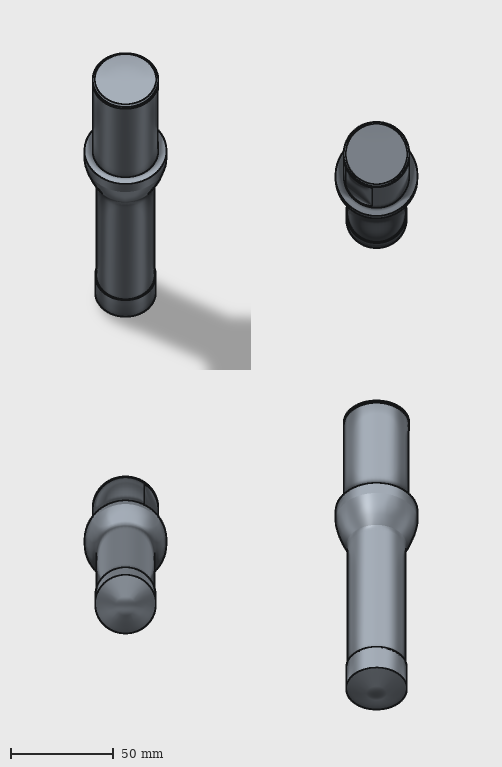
import cadquery as cq
import math

TOTAL_HEIGHT = 184.0

HEAD_DIAMETER = 29.6
POINT_HEIGHT = 4.8
HEAD_TOP = 18.8

NECK_DIAMETER = 28.3
NECK_TOP = 98.0
FLARE_BOTTOM = 100.8
FLARE_BOTTOM_DIAMETER = 29.3
COLLAR_DIAMETER = 40.0
COLLAR_BOTTOM = 117.2
COLLAR_TOP = 124.0
FLARE_MID_HEIGHT = 110.2
FLARE_MID_DIAMETER = 36.8
SHANK_DIAMETER = 32.0
SHANK_CHAMFER_RADIAL = 1.1
SHANK_CHAMFER_HEIGHT = 0.7

GROOVE_TOP = 183.0
GROOVE_ROOT = 182.7
GROOVE_BOTTOM = 181.6
GROOVE_DEPTH = 0.4

FLAT_DISTANCE = 13.8
FLAT_BOTTOM = 130.3
FLAT_TOP = 177.7
FLAT_END_DIAMETER = 6.5

head_radius = HEAD_DIAMETER / 2
neck_radius = NECK_DIAMETER / 2
flare_radius = FLARE_BOTTOM_DIAMETER / 2
flare_mid_radius = FLARE_MID_DIAMETER / 2
collar_radius = COLLAR_DIAMETER / 2
shank_radius = SHANK_DIAMETER / 2


def make_cutting_head():
    """Short cylinder with a conical point."""
    return (
        cq.Workplane("XZ")
        .moveTo(0, 0)
        .lineTo(head_radius, POINT_HEIGHT)
        .lineTo(head_radius, HEAD_TOP)
        .lineTo(0, HEAD_TOP)
        .close()
        .revolve(360, (0, 0, 0), (0, 1, 0))
    )


def make_flat_cutter():
    """Prism with rounded ends that removes the shank material beyond the flat."""
    end_radius = FLAT_END_DIAMETER / 2
    outer_y = FLAT_DISTANCE + end_radius
    arc_mid_offset = end_radius * math.sin(math.radians(45))
    arc_mid_y = outer_y - arc_mid_offset
    return (
        cq.Workplane("YZ")
        .moveTo(FLAT_DISTANCE, FLAT_BOTTOM)
        .lineTo(FLAT_DISTANCE, FLAT_TOP)
        .threePointArc((arc_mid_y, FLAT_TOP + arc_mid_offset), (outer_y, FLAT_TOP + end_radius))
        .lineTo(outer_y, FLAT_BOTTOM - end_radius)
        .threePointArc((arc_mid_y, FLAT_BOTTOM - arc_mid_offset), (FLAT_DISTANCE, FLAT_BOTTOM))
        .close()
        .extrude(shank_radius, both=True)
    )


def make_holder():
    """Neck, curved flare, collar and chamfered, grooved shank with its flat."""
    turned_body = (
        cq.Workplane("XZ")
        .moveTo(0, HEAD_TOP)
        .lineTo(neck_radius, HEAD_TOP)
        .lineTo(neck_radius, NECK_TOP)
        .tangentArcPoint((flare_radius, FLARE_BOTTOM), relative=False)
        .threePointArc((flare_mid_radius, FLARE_MID_HEIGHT), (collar_radius, COLLAR_BOTTOM))
        .lineTo(collar_radius, COLLAR_TOP)
        .lineTo(shank_radius, COLLAR_TOP)
        .lineTo(shank_radius, GROOVE_BOTTOM)
        .lineTo(shank_radius - GROOVE_DEPTH, GROOVE_ROOT)
        .lineTo(shank_radius, GROOVE_TOP)
        .lineTo(shank_radius, TOTAL_HEIGHT - SHANK_CHAMFER_HEIGHT)
        .lineTo(shank_radius - SHANK_CHAMFER_RADIAL, TOTAL_HEIGHT)
        .lineTo(0, TOTAL_HEIGHT)
        .close()
        .revolve(360, (0, 0, 0), (0, 1, 0))
    )
    return turned_body.cut(make_flat_cutter())


cutting_head = make_cutting_head()
holder = make_holder()

result = cq.Compound.makeCompound([cutting_head.val(), holder.val()])